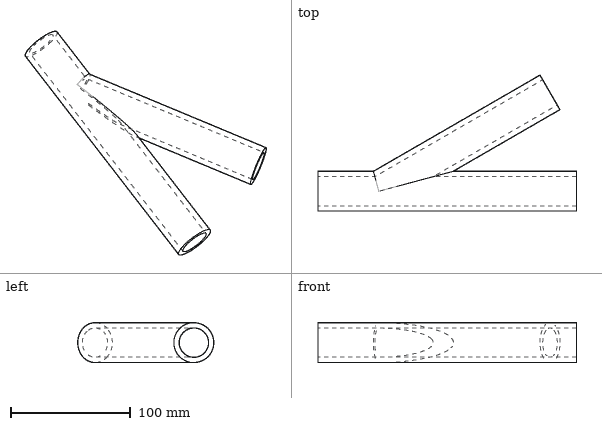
import cadquery as cq

run_length = 216.0
outer_diameter = 33.5
bore_diameter = 24.5
branch_start_x = 50.7
branch_angle = 30.0
branch_length = 165.2


def run_cylinder(diameter):
    """Cylinder along the full length of the run."""
    return cq.Workplane("YZ").circle(diameter / 2).extrude(run_length)


def branch_cylinder(diameter):
    """Cylinder along the branch, starting on the run axis."""
    return (
        cq.Workplane("YZ")
        .circle(diameter / 2)
        .extrude(branch_length)
        .rotate((0, 0, 0), (0, 0, 1), branch_angle)
        .translate((branch_start_x, 0, 0))
    )


outer_body = run_cylinder(outer_diameter).union(branch_cylinder(outer_diameter))
bores = run_cylinder(bore_diameter).union(branch_cylinder(bore_diameter))
result = outer_body.cut(bores)